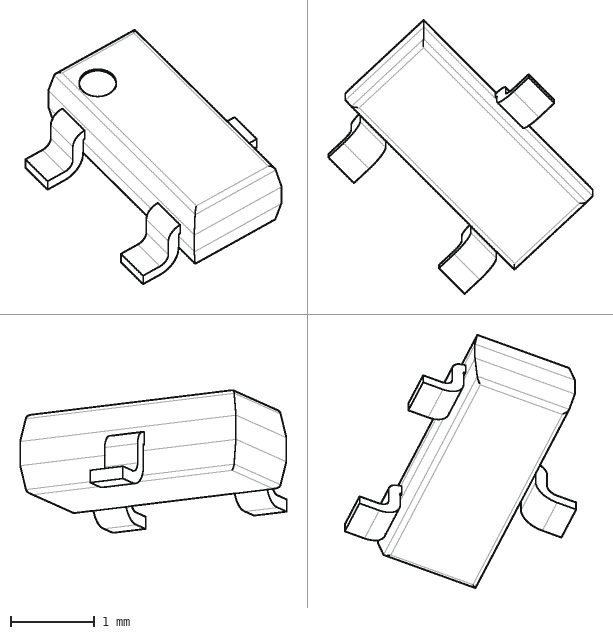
import cadquery as cq
import math

LENGTH = 2.9
DEPTH = 1.3
BASE_Z = 0.122
BAND_BOTTOM_Z = 0.465
BAND_TOP_Z = 0.76
TOP_Z = 1.1
DRAFT_ANGLE = 10.0
EDGE_RADIUS = 0.067

LEAD_SPAN = 2.4
LEAD_WIDTH = 0.44
LEAD_THICKNESS = 0.15
LEAD_TOP_Z = 0.687
LEAD_OFFSET_X = 0.948
SHOULDER_OUTER_RADIUS = 0.175
HEEL_INNER_RADIUS = 0.125

MARK_DIAMETER = 0.44
MARK_X = -LEAD_OFFSET_X
MARK_Y = -0.29
MARK_DEPTH = 0.03


def make_housing():
    """Block with a straight middle band, tapering above and below it, and a round mark recess."""
    band = (
        cq.Workplane("XY", origin=(0, 0, BAND_BOTTOM_Z))
        .rect(LENGTH, DEPTH)
        .extrude(BAND_TOP_Z - BAND_BOTTOM_Z)
    )
    upper = (
        cq.Workplane("XY", origin=(0, 0, BAND_TOP_Z))
        .rect(LENGTH, DEPTH)
        .extrude(TOP_Z - BAND_TOP_Z, taper=DRAFT_ANGLE)
        .faces(">Z").edges()
        .fillet(EDGE_RADIUS)
    )
    lower = (
        cq.Workplane("XY", origin=(0, 0, BAND_BOTTOM_Z))
        .rect(LENGTH, DEPTH)
        .extrude(BASE_Z - BAND_BOTTOM_Z, taper=DRAFT_ANGLE)
        .faces("<Z").edges()
        .fillet(EDGE_RADIUS)
    )
    mark = (
        cq.Workplane("XY", origin=(MARK_X, MARK_Y, TOP_Z - MARK_DEPTH))
        .circle(MARK_DIAMETER / 2)
        .extrude(MARK_DEPTH)
    )
    return band.union(upper).union(lower).cut(mark).solids()


def point_on_circle(center, radius, degrees):
    """Point on a circle at the given angle."""
    angle = math.radians(degrees)
    return (center[0] + radius * math.cos(angle), center[1] + radius * math.sin(angle))


def make_lead(center_x, turn):
    """Gull-wing lead on the front face, turned about Z by the given angle, then moved to center_x."""
    face_y = -DEPTH / 2
    tip_y = -LEAD_SPAN / 2
    outer_y = face_y - SHOULDER_OUTER_RADIUS
    inner_y = outer_y + LEAD_THICKNESS
    shoulder_inner_radius = SHOULDER_OUTER_RADIUS - LEAD_THICKNESS
    heel_outer_radius = HEEL_INNER_RADIUS + LEAD_THICKNESS
    shoulder = (face_y, LEAD_TOP_Z - SHOULDER_OUTER_RADIUS)
    heel = (outer_y - HEEL_INNER_RADIUS, heel_outer_radius)

    return (
        cq.Workplane("YZ", origin=(-LEAD_WIDTH / 2, 0, 0))
        .moveTo(tip_y, 0)
        .lineTo(heel[0], 0)
        .threePointArc(point_on_circle(heel, heel_outer_radius, -45), (inner_y, heel[1]))
        .lineTo(inner_y, shoulder[1])
        .threePointArc(
            point_on_circle(shoulder, shoulder_inner_radius, 135),
            (face_y, LEAD_TOP_Z - LEAD_THICKNESS),
        )
        .lineTo(face_y, LEAD_TOP_Z)
        .threePointArc(point_on_circle(shoulder, SHOULDER_OUTER_RADIUS, 135), (outer_y, shoulder[1]))
        .lineTo(outer_y, heel[1])
        .threePointArc(point_on_circle(heel, HEEL_INNER_RADIUS, -45), (heel[0], LEAD_THICKNESS))
        .lineTo(tip_y, LEAD_THICKNESS)
        .close()
        .extrude(LEAD_WIDTH)
        .rotate((0, 0, 0), (0, 0, 1), turn)
        .translate((center_x, 0, 0))
    )


housing = make_housing()

lead_places = [(-LEAD_OFFSET_X, 0), (LEAD_OFFSET_X, 0), (0, 180)]
leads = [make_lead(center_x, turn) for center_x, turn in lead_places]

result = cq.Compound.makeCompound([housing.val(), *[lead.val() for lead in leads]])